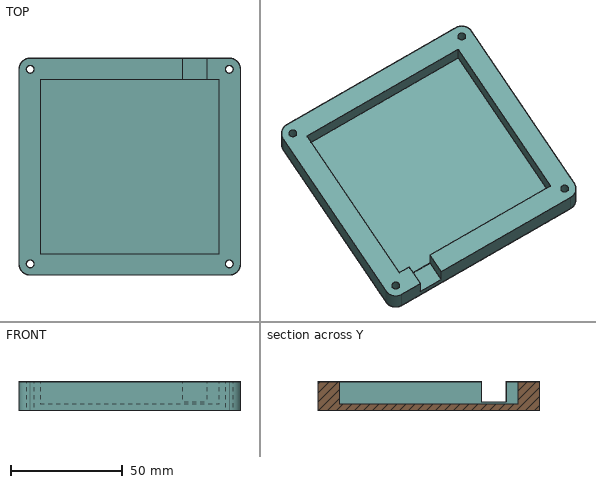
import cadquery as cq

length = 99.0
width = 97.0
height = 13.0
corner_radius = 5.0

pocket_length = 79.6
pocket_width = 78.0
pocket_depth = 10.0

notch_width = 10.9
notch_depth = 9.0
notch_to_right_side = 14.9

hole_diameter = 3.4
hole_spacing_x = length - 2 * corner_radius
hole_spacing_y = width - 2 * corner_radius


def rounded_block():
    block = cq.Workplane("XY").box(length, width, height, centered=(True, True, False))
    return block.edges("|Z").fillet(corner_radius)


def pocket():
    cutter = cq.Workplane("XY").box(pocket_length, pocket_width, pocket_depth, centered=(True, True, False))
    return cutter.translate((0, 0, height - pocket_depth))


def cable_notch():
    wall = (width - pocket_width) / 2
    cutter = cq.Workplane("XY").box(notch_width, wall, notch_depth, centered=False)
    notch_start = length / 2 - notch_to_right_side - notch_width
    return cutter.translate((notch_start, pocket_width / 2, height - notch_depth))


def screw_holes():
    return (
        cq.Workplane("XY")
        .rect(hole_spacing_x, hole_spacing_y, forConstruction=True)
        .vertices()
        .circle(hole_diameter / 2)
        .extrude(height)
    )


result = rounded_block().cut(pocket()).cut(cable_notch()).cut(screw_holes())